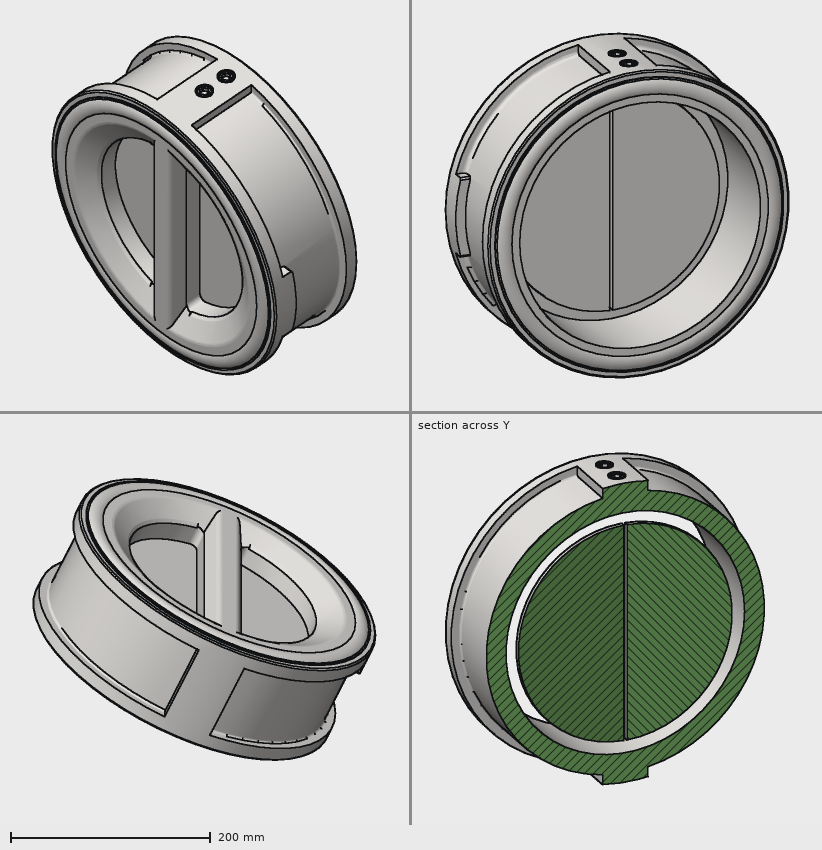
import cadquery as cq
import math


FLANGE_RADIUS = 163.5
NECK_RADIUS = 153.0
BODY_LENGTH = 122.0
FLANGE_INNER_Y = 41.2
FLANGE_CHAMFER = 1.5
INLET_NECK_FILLET = 4.3
OUTLET_NECK_FILLET = 2.3

BEAD_RADIUS = 15.7
BEAD_CENTRE_RADIUS = 145.5
BEAD_STEP_RADIUS = 156.5

STEP_DEPTH = 3.0
FLANGE_FACE_DEPTH = 4.3
INNER_FACE_DEPTH = 1.3

END_Y = BODY_LENGTH / 2
STEP_Y = END_Y - STEP_DEPTH
FLANGE_FACE_Y = END_Y - FLANGE_FACE_DEPTH
FACE_Y = END_Y - INNER_FACE_DEPTH

FUNNEL_RADIUS = 127.5
FUNNEL_ANGLE = 29.0
RIB_HALF_WIDTH = 11.5
RIB_FLANK_ANGLE = 30.0
OPENING_EDGE_FILLET = 7.2
SELECTION_MARGIN = 0.3
PORT_RADIUS = 103.0
PORT_CHAMFER = 3.3
PORT_INNER_X = 20.3
PORT_CORNER_RADIUS = 6.5
SEAT_DEPTH = 34.3
SEAT_Y = SEAT_DEPTH - FACE_Y
OUTLET_RADIUS = 130.8

PAD_WIDTH = 50.0
LUG_HEIGHT = 85.0
LUG_LENGTH = 13.0
LUG_CHAMFER = 2.0

PLUG_Y_POSITIONS = (0.0, 30.0)
PLUG_RADIUS = 8.2
PLUG_LENGTH = 16.5
PLUG_CHAMFER = 1.3
PLUG_RECESS = 1.0
HOLE_CHAMFER = 1.0
SOCKET_WIDTH = 8.8
SOCKET_DEPTH = 4.0
SOCKET_TIP_DEPTH = 2.3

PLATE_RADIUS = 117.7
PLATE_THICKNESS = 9.8
PLATE_GAP = 3.3


def disc(radius, start_y, end_y):
    """Solid cylinder along Y."""
    return cq.Workplane("XZ", origin=(0, start_y, 0)).circle(radius).extrude(start_y - end_y)


def bead_half_width(depth):
    """Half the width of the bead at a depth below its top."""
    return math.sqrt(BEAD_RADIUS**2 - (BEAD_RADIUS - depth) ** 2)


def flange(neck_fillet):
    """Inlet-side half of the ring: end face with bead, flange rim and half of the neck."""
    bead_inner_radius = BEAD_CENTRE_RADIUS - bead_half_width(INNER_FACE_DEPTH)
    bead_outer_radius = BEAD_CENTRE_RADIUS + bead_half_width(STEP_DEPTH)
    fillet_bend = neck_fillet * (1 - math.sqrt(0.5))
    return (
        cq.Workplane("XY")
        .moveTo(0, 0)
        .lineTo(0, -FACE_Y)
        .lineTo(bead_inner_radius, -FACE_Y)
        .threePointArc((BEAD_CENTRE_RADIUS, -END_Y), (bead_outer_radius, -STEP_Y))
        .lineTo(BEAD_STEP_RADIUS, -STEP_Y)
        .lineTo(BEAD_STEP_RADIUS, -FLANGE_FACE_Y)
        .lineTo(FLANGE_RADIUS - FLANGE_CHAMFER, -FLANGE_FACE_Y)
        .lineTo(FLANGE_RADIUS, -FLANGE_FACE_Y + FLANGE_CHAMFER)
        .lineTo(FLANGE_RADIUS, -FLANGE_INNER_Y)
        .lineTo(NECK_RADIUS + neck_fillet, -FLANGE_INNER_Y)
        .threePointArc(
            (NECK_RADIUS + fillet_bend, -FLANGE_INNER_Y + fillet_bend),
            (NECK_RADIUS, -FLANGE_INNER_Y + neck_fillet),
        )
        .lineTo(NECK_RADIUS, 0)
        .close()
        .revolve(360, (0, 0, 0), (0, 1, 0))
    )


def funnel():
    """Conical mouth on the +X side of the rib, cut off by the sloping rib flank."""
    slope = math.tan(math.radians(FUNNEL_ANGLE))
    depth = (PORT_INNER_X - RIB_HALF_WIDTH) / math.tan(math.radians(RIB_FLANK_ANGLE))
    cone = (
        cq.Workplane("XY")
        .polyline([
            (0, -FACE_Y),
            (FUNNEL_RADIUS, -FACE_Y),
            (FUNNEL_RADIUS - depth / slope, -FACE_Y + depth),
            (0, -FACE_Y + depth),
        ])
        .close()
        .revolve(360, (0, 0, 0), (0, 1, 0))
    )
    flank_side = (
        cq.Workplane("XY", origin=(0, 0, -FLANGE_RADIUS))
        .polyline([
            (RIB_HALF_WIDTH, -FACE_Y),
            (FLANGE_RADIUS, -FACE_Y),
            (FLANGE_RADIUS, -FACE_Y + depth),
            (PORT_INNER_X, -FACE_Y + depth),
        ])
        .close()
        .extrude(2 * FLANGE_RADIUS)
    )
    return cone.intersect(flank_side)


def right_of(x):
    """Everything on the +X side of x, as a box that covers the whole part."""
    size = 2 * FLANGE_RADIUS
    return cq.Workplane("XY").box(size, size, size).translate((x + size / 2, 0, 0))


def port():
    """D-shaped passage to the seat with rounded corners and a chamfered arc edge."""
    rim_radius = PORT_RADIUS + PORT_CHAMFER
    rim_y = -FACE_Y + (FUNNEL_RADIUS - rim_radius) * math.tan(math.radians(FUNNEL_ANGLE))
    passage = (
        disc(PORT_RADIUS, -FACE_Y, SEAT_Y)
        .intersect(right_of(PORT_INNER_X))
        .edges("|Y")
        .fillet(PORT_CORNER_RADIUS)
    )
    chamfer = cq.Solid.makeCone(
        rim_radius, PORT_RADIUS, PORT_CHAMFER,
        pnt=cq.Vector(0, rim_y, 0), dir=cq.Vector(0, 1, 0),
    )
    arc_end_x = (PORT_INNER_X + PORT_CORNER_RADIUS) * PORT_RADIUS / (PORT_RADIUS - PORT_CORNER_RADIUS)
    return passage.union(right_of(arc_end_x).intersect(cq.Workplane(chamfer)))


def opening():
    """Inlet opening on the +X side."""
    return funnel().union(port())


def pads():
    """Flat-sided pads that bridge the neck groove at the top and bottom."""
    slab = cq.Workplane("XY").box(PAD_WIDTH, 2 * FLANGE_INNER_Y, 2 * FLANGE_RADIUS)
    return disc(FLANGE_RADIUS, -FLANGE_INNER_Y, FLANGE_INNER_Y).intersect(slab)


def lug():
    """Block in the neck groove on the +X side, against the inlet flange."""
    slab = (
        cq.Workplane("XY", origin=(FLANGE_RADIUS, LUG_LENGTH / 2 - FLANGE_INNER_Y, 0))
        .box(FLANGE_RADIUS, LUG_LENGTH, LUG_HEIGHT)
        .edges(">Y and |X")
        .chamfer(LUG_CHAMFER)
    )
    return disc(FLANGE_RADIUS, -FLANGE_INNER_Y, FLANGE_INNER_Y).intersect(slab)


def plug_hole(y):
    """Blind chamfered hole for a plug, bored down from the top pad."""
    length = PLUG_LENGTH + PLUG_RECESS
    bore = (
        cq.Workplane("XY", origin=(0, y, FLANGE_RADIUS - length))
        .circle(PLUG_RADIUS)
        .extrude(length)
    )
    mouth_radius = PLUG_RADIUS + HOLE_CHAMFER
    mouth = cq.Solid.makeCone(
        PLUG_RADIUS, mouth_radius, HOLE_CHAMFER,
        pnt=cq.Vector(0, y, FLANGE_RADIUS - HOLE_CHAMFER),
    )
    return bore.union(cq.Workplane(mouth))


def opening_mouths():
    """Selector for the edges of both openings on the inner face."""
    reach = FUNNEL_RADIUS + SELECTION_MARGIN
    return cq.selectors.BoxSelector(
        (-reach, -FACE_Y - SELECTION_MARGIN, -reach),
        (reach, -FACE_Y + SELECTION_MARGIN, reach),
        boundingbox=True,
    )


def build_housing():
    """Flanged ring with the centre rib, both openings, pads, lug and plug holes."""
    inlet_half = flange(INLET_NECK_FILLET)
    outlet_half = flange(OUTLET_NECK_FILLET).mirror("XZ")
    body = inlet_half.union(outlet_half).union(pads()).union(lug())
    body = body.cut(disc(OUTLET_RADIUS, SEAT_Y, END_Y))
    right_opening = opening()
    body = body.cut(right_opening).cut(right_opening.mirror("YZ"))
    body = body.edges(opening_mouths()).fillet(OPENING_EDGE_FILLET)
    for y in PLUG_Y_POSITIONS:
        body = body.cut(plug_hole(y))
    return body


def build_plug(y):
    """Round plug with a hexagon socket that ends in a conical tip."""
    top = FLANGE_RADIUS - PLUG_RECESS
    socket_bottom = top - SOCKET_DEPTH
    body = (
        cq.Workplane("XY", origin=(0, y, top - PLUG_LENGTH))
        .circle(PLUG_RADIUS)
        .extrude(PLUG_LENGTH)
        .faces(">Z")
        .chamfer(PLUG_CHAMFER)
    )
    socket = (
        cq.Workplane("XY", origin=(0, y, socket_bottom))
        .polygon(6, SOCKET_WIDTH, circumscribed=True)
        .extrude(SOCKET_DEPTH)
    )
    tip = cq.Solid.makeCone(
        SOCKET_WIDTH / 2, 0, SOCKET_TIP_DEPTH,
        pnt=cq.Vector(0, y, socket_bottom), dir=cq.Vector(0, 0, -1),
    )
    return body.cut(socket).cut(cq.Workplane(tip))


def build_plate():
    """Half-disc closing plate on the +X side, resting against the seat."""
    return disc(PLATE_RADIUS, SEAT_Y, SEAT_Y + PLATE_THICKNESS).intersect(right_of(PLATE_GAP / 2))


housing = build_housing()
plugs = [build_plug(y) for y in PLUG_Y_POSITIONS]
plate = build_plate()
plates = [plate, plate.mirror("YZ")]

result = cq.Compound.makeCompound([body.val() for body in [housing, *plugs, *plates]])